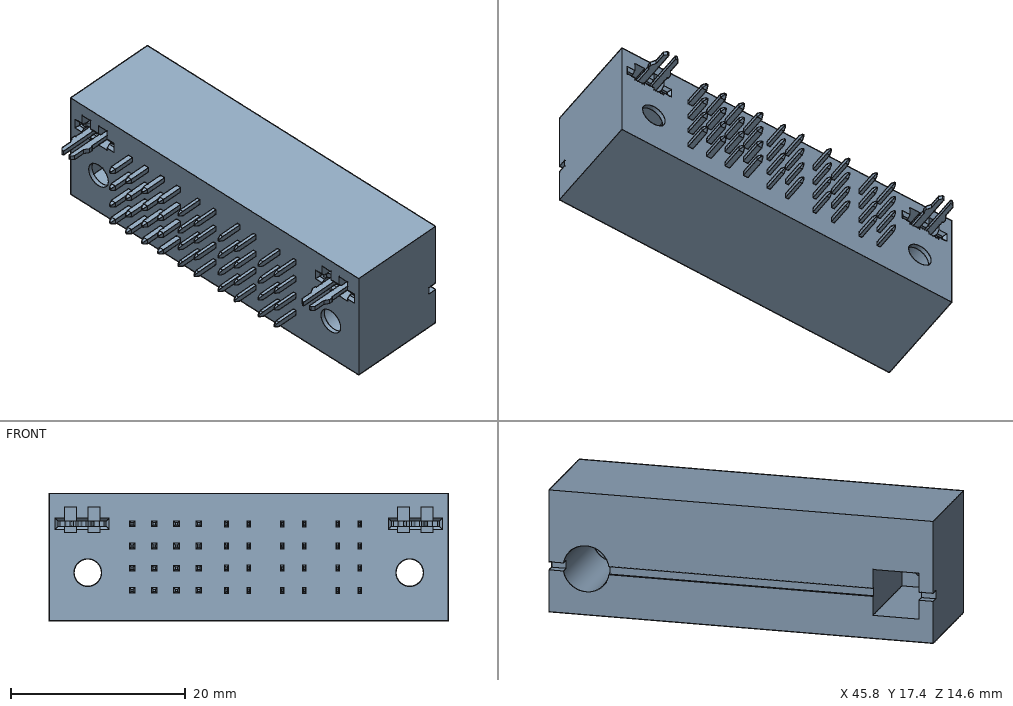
import cadquery as cq

LENGTH = 45.75
DEPTH = 12.7
HEIGHT = 14.6

LAST_COLUMN_X = 12.7
PITCHES_TO_LAST_COLUMN = 5
PITCH = LAST_COLUMN_X / PITCHES_TO_LAST_COLUMN
WIDE_PIN_WIDTH = 0.65
THIN_PIN_WIDTH = 0.4
WIDE_PIN_HEIGHT = 0.65
THIN_PIN_HEIGHT = 0.7
PIN_LENGTH = 3.35
PIN_TIP_LENGTH = 0.5
PIN_TIP_RATIO = 0.4
ROW_COUNT = 4
TOP_ROW_Z = PITCH * (ROW_COUNT - 1) / 2
WIDE_COLUMN_COUNT = 4
FIRST_WIDE_COLUMN_X = -13.35
THIN_PAIR_STARTS_X = (-PITCH, 1.5 * PITCH, LAST_COLUMN_X - PITCH)

HOLE_X = 18.45
HOLE_Z = -1.8
HOLE_DIAMETER = 3.1
HOLE_WALL = 0.55
POCKET_WIDTH = 5.5

GROOVE_HEIGHT = 0.95
GROOVE_DEPTH = 0.27
GROOVE_END_DEPTH = 1.1

CLIP_X = 19.05
CLIP_Z = TOP_ROW_Z
CLIP_THICKNESS = 0.6
SLOT_WIDTH = 6.17
SLOT_HEIGHT = 1.3
SLOT_FLARE = (SLOT_HEIGHT - CLIP_THICKNESS) / 2
FLARE_DEPTH = 0.35

NOTCH_WIDTH = 1.35
NOTCH_HEIGHT = 2.9
NOTCH_DEPTH = 1.85
NOTCH_OFFSET_X = 1.33
NOTCH_OFFSET_Z = 0.45

SHOULDER_DEPTH = 0.65
SHOULDER_HALF_WIDTH = SLOT_WIDTH / 2 - SLOT_FLARE
SHOULDER_CHAMFER = 0.25
LEG_LENGTH = 4.65
LEG_INNER = 0.45
LEG_OUTER = 1.25
LEG_TIP_OUTER = 1.0
LEG_TIP_CHAMFER = 0.3
BARB_OUTER = 1.35
BARB_START = 1.8
BARB_END = 2.3
BARB_TAPER_END = 2.9
RELIEF_RADIUS = 0.35


def block(width, depth, height, x, y, z):
    """Box centred at (x, z) and running from y towards +Y."""
    return cq.Workplane("XY").box(width, depth, height, centered=(True, False, True)).translate((x, y, z))


def frustum(width, height, end_width, end_height, length, x, y, z):
    """Rectangular frustum on the Y axis whose first section is at y; positive length runs to -Y."""
    return (
        cq.Workplane("XZ", origin=(x, y, z))
        .rect(width, height)
        .workplane(offset=length)
        .rect(end_width, end_height)
        .loft(combine=True)
    )


def pin(width, height, x, z):
    """Square-cut pin with a tapered tip."""
    shank_length = PIN_LENGTH - PIN_TIP_LENGTH
    shank = block(width, shank_length, height, x, -shank_length, z)
    end_width = width * PIN_TIP_RATIO
    end_height = height * PIN_TIP_RATIO
    tip = frustum(width, height, end_width, end_height, PIN_TIP_LENGTH, x, -shank_length, z)
    return shank.union(tip)


def mounting_hole(x):
    return cq.Workplane("XZ", origin=(x, 0, HOLE_Z)).circle(HOLE_DIAMETER / 2).extrude(-DEPTH)


def round_pocket(x):
    start = cq.Workplane("XZ", origin=(x, HOLE_WALL, HOLE_Z))
    return start.circle(POCKET_WIDTH / 2).extrude(HOLE_WALL - DEPTH)


def square_pocket(x):
    return block(POCKET_WIDTH, DEPTH - HOLE_WALL, POCKET_WIDTH, x, HOLE_WALL, HOLE_Z)


def back_groove():
    """Shallow full-length groove with a deeper stretch at both ends."""
    groove = block(LENGTH, GROOVE_DEPTH, GROOVE_HEIGHT, 0, DEPTH - GROOVE_DEPTH, HOLE_Z)
    end_length = LENGTH / 2 - HOLE_X
    for side in (-1, 1):
        end_x = side * (HOLE_X + end_length / 2)
        groove = groove.union(
            block(end_length, GROOVE_END_DEPTH, GROOVE_HEIGHT, end_x, DEPTH - GROOVE_END_DEPTH, HOLE_Z)
        )
    return groove


def clip_recess(x):
    """Flared slot mouth, straight slot and the two notches crossing it."""
    inner_width = 2 * SHOULDER_HALF_WIDTH
    recess = frustum(SLOT_WIDTH, SLOT_HEIGHT, inner_width, CLIP_THICKNESS, -FLARE_DEPTH, x, 0, CLIP_Z)
    recess = recess.union(block(inner_width, NOTCH_DEPTH, CLIP_THICKNESS, x, 0, CLIP_Z))
    for side in (-1, 1):
        notch_x = x + side * NOTCH_OFFSET_X
        recess = recess.union(
            block(NOTCH_WIDTH, NOTCH_DEPTH, NOTCH_HEIGHT, notch_x, 0, CLIP_Z + NOTCH_OFFSET_Z)
        )
    return recess


def clip(x):
    """Flat two-legged board lock with outward barbs, seated on the slot floor."""
    relief_outer = LEG_OUTER + 2 * RELIEF_RADIUS
    half = (
        cq.Workplane("XY")
        .moveTo(0, NOTCH_DEPTH)
        .lineTo(0, SHOULDER_DEPTH + LEG_INNER)
        .radiusArc((LEG_INNER, SHOULDER_DEPTH), -LEG_INNER)
        .lineTo(LEG_INNER, -LEG_LENGTH)
        .lineTo(LEG_TIP_OUTER - LEG_TIP_CHAMFER, -LEG_LENGTH)
        .lineTo(LEG_TIP_OUTER, LEG_TIP_CHAMFER - LEG_LENGTH)
        .lineTo(LEG_TIP_OUTER, -BARB_TAPER_END)
        .lineTo(BARB_OUTER, -BARB_END)
        .lineTo(BARB_OUTER, -BARB_START)
        .lineTo(LEG_OUTER, -BARB_START)
        .lineTo(LEG_OUTER, SHOULDER_DEPTH)
        .threePointArc(
            (LEG_OUTER + RELIEF_RADIUS, SHOULDER_DEPTH + RELIEF_RADIUS),
            (relief_outer, SHOULDER_DEPTH),
        )
        .lineTo(SHOULDER_HALF_WIDTH - SHOULDER_CHAMFER, SHOULDER_DEPTH)
        .lineTo(SHOULDER_HALF_WIDTH, SHOULDER_DEPTH + SHOULDER_CHAMFER)
        .lineTo(SHOULDER_HALF_WIDTH, NOTCH_DEPTH)
        .close()
        .extrude(CLIP_THICKNESS / 2, both=True)
    )
    return half.union(half.mirror("YZ")).translate((x, 0, CLIP_Z))


result = block(LENGTH, DEPTH, HEIGHT, 0, 0, 0)
result = result.cut(square_pocket(-HOLE_X)).cut(round_pocket(HOLE_X)).cut(back_groove())
for side in (-1, 1):
    result = result.cut(mounting_hole(side * HOLE_X))
    result = result.cut(clip_recess(side * CLIP_X)).union(clip(side * CLIP_X))

pin_rows_z = [TOP_ROW_Z - row * PITCH for row in range(ROW_COUNT)]
wide_columns_x = [FIRST_WIDE_COLUMN_X + column * PITCH for column in range(WIDE_COLUMN_COUNT)]
thin_columns_x = [start + step for start in THIN_PAIR_STARTS_X for step in (0, PITCH)]

pins = cq.Workplane("XY")
for pin_z in pin_rows_z:
    for pin_x in wide_columns_x:
        pins.add(pin(WIDE_PIN_WIDTH, WIDE_PIN_HEIGHT, pin_x, pin_z))
    for pin_x in thin_columns_x:
        pins.add(pin(THIN_PIN_WIDTH, THIN_PIN_HEIGHT, pin_x, pin_z))
result = result.union(pins.combine())